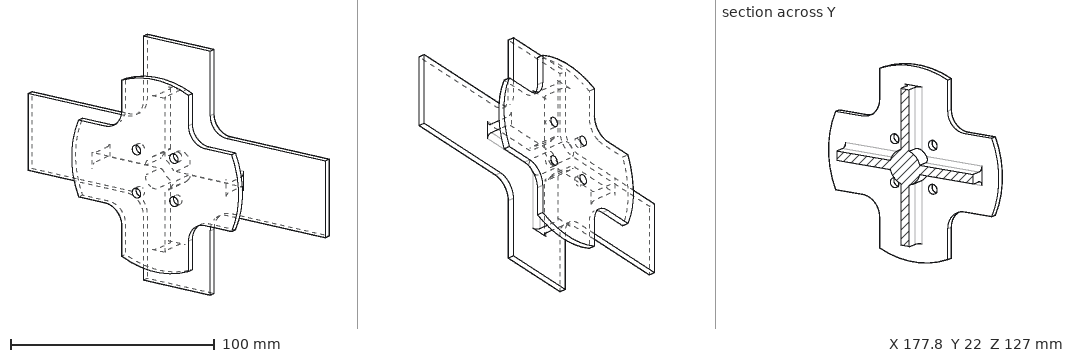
import cadquery as cq

length = 177.8
height = 127.0
depth = 22.0
plate_thickness = 3.4
gap = depth - 2 * plate_thickness

arm_width = 40.0
plate_corner_radius = 10.0
front_plate_radius = 50.0

rib_length = 80.0
rib_thickness = 5.0
rib_flare_radius = 2.5
hub_radius = 9.0

hole_diameter = 5.0
hole_spacing = 22.4

front_y = -depth / 2
gap_y = front_y + plate_thickness
back_y = gap_y + gap


def xz_plane(start_y):
    """Workplane in XZ at the given Y, extruding toward +Y (local y is -Z)."""
    return cq.Workplane(cq.Plane(origin=(0, start_y, 0), xDir=(1, 0, 0), normal=(0, 1, 0)))


def cross_plate(start_y):
    """Full cross plate with its four inner corners rounded."""
    plane = xz_plane(start_y)
    bar_x = plane.rect(length, arm_width).extrude(plate_thickness)
    bar_z = plane.rect(arm_width, height).extrude(plate_thickness)
    reach = arm_width
    inner_corners = cq.selectors.BoxSelector((-reach, -depth, -reach), (reach, depth, reach))
    return bar_x.union(bar_z).edges("|Y").edges(inner_corners).fillet(plate_corner_radius)


def make_front_plate():
    """Cross plate with arc-shaped arm ends and a square pattern of holes."""
    plane = xz_plane(front_y)
    disc = plane.circle(front_plate_radius).extrude(plate_thickness)
    holes = (
        plane.rect(hole_spacing, hole_spacing, forConstruction=True)
        .vertices()
        .circle(hole_diameter / 2)
        .extrude(plate_thickness)
    )
    return cross_plate(front_y).intersect(disc).cut(holes)


def make_rib():
    """Rib along X whose two sides flare out to meet both plates."""
    flared_width = rib_thickness + 2 * rib_flare_radius
    bar = cq.Workplane("XY").box(rib_length, gap, flared_width)
    groove = cq.Workplane("XY").box(rib_length, gap, flared_width)
    groove = groove.edges("|X").fillet(rib_flare_radius)
    side_offset = (rib_thickness + flared_width) / 2
    for side in (-1, 1):
        bar = bar.cut(groove.translate((0, 0, side * side_offset)))
    return bar.translate((0, gap_y + gap / 2, 0))


rib_x = make_rib()
rib_z = rib_x.rotate((0, 0, 0), (0, 1, 0), 90)
hub = xz_plane(gap_y).circle(hub_radius).extrude(gap)

result = cross_plate(back_y).union(make_front_plate()).union(rib_x).union(rib_z).union(hub)